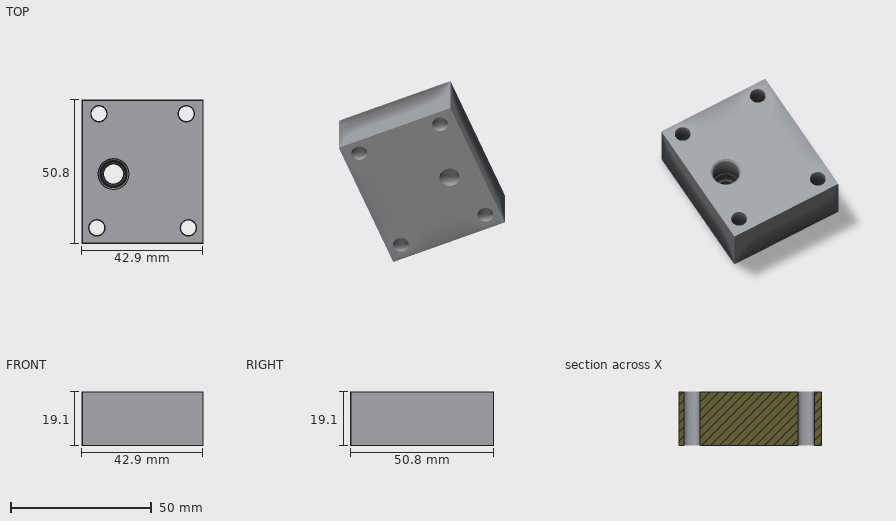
import cadquery as cq
import math

block_length_x = 42.88
block_width_y = 50.8
block_height = 19.05

bolt_diameter = 5.61
back_bolt_spacing = 31.0
front_bolt_spacing = 32.5
bolt_pitch_y = 40.5
back_bolt_y = 20.6
front_bolt_y = back_bolt_y - bolt_pitch_y

port_x = -10.33
port_y = -0.8
mouth_diameter = 10.9
thread_top_diameter = 9.65
thread_end_diameter = 9.15
drill_diameter = 8.61
passage_diameter = 7.14
thread_end_depth = 8.5
drill_depth = 12.0
drill_point_angle = 118.0


def make_block():
    return cq.Workplane("XY").box(
        block_length_x, block_width_y, block_height, centered=(True, True, False)
    )


def make_bolt_holes():
    centres = []
    for spacing, y in ((back_bolt_spacing, back_bolt_y), (front_bolt_spacing, front_bolt_y)):
        for side in (-1, 1):
            centres.append((side * spacing / 2, y))
    return cq.Workplane("XY").pushPoints(centres).circle(bolt_diameter / 2).extrude(block_height)


def make_port():
    """Revolve the half-section of the port about its vertical axis."""
    mouth_radius = mouth_diameter / 2
    thread_top_radius = thread_top_diameter / 2
    thread_end_radius = thread_end_diameter / 2
    drill_radius = drill_diameter / 2
    passage_radius = passage_diameter / 2

    chamfer_depth = mouth_radius - thread_top_radius
    half_point_angle = math.radians(drill_point_angle / 2)
    cone_height = (drill_radius - passage_radius) / math.tan(half_point_angle)

    thread_top_z = block_height - chamfer_depth
    thread_end_z = block_height - thread_end_depth
    drill_end_z = block_height - drill_depth

    half_section = [
        (0, 0),
        (passage_radius, 0),
        (passage_radius, drill_end_z - cone_height),
        (drill_radius, drill_end_z),
        (drill_radius, thread_end_z),
        (thread_end_radius, thread_end_z),
        (thread_top_radius, thread_top_z),
        (mouth_radius, block_height),
        (0, block_height),
    ]
    port = cq.Workplane("XZ").polyline(half_section).close().revolve(360, (0, 0), (0, 1))
    return port.translate((port_x, port_y, 0))


result = make_block().cut(make_bolt_holes()).cut(make_port())